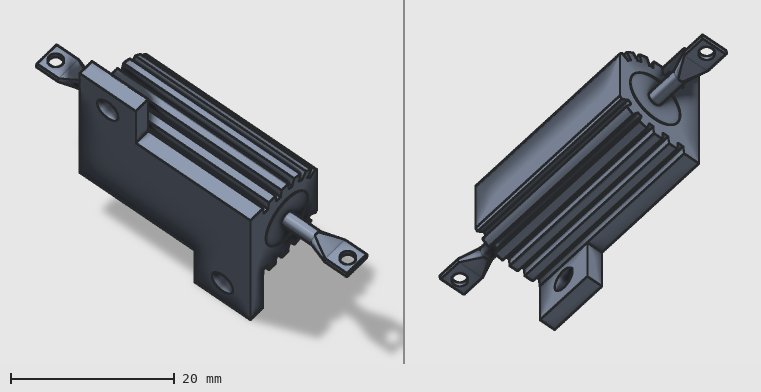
import cadquery as cq
import math


body_length = 27.15
body_radius = 7.05
mount_face_y = -7.0
back_face_y = 5.7

plate_thickness = 2.35
plate_height = 27.4
tab_width = 8.9
mount_hole_diameter = 3.35
mount_hole_z = 9.95

groove_mouth = 1.15
straight_floor = 0.85
radial_floor = 0.65
groove_depth = 1.25
straight_groove_ys = (-4.05, -1.65)
radial_groove_angles = (6.5, 26, 45.5)

recess_radius = 4.0
recess_depth = 0.1

overall_length = 49.3
lead_radius = 1.01
flare_start_x = 18.25
flare_end_x = 21.2
flat_start_z = 0.96
lug_width = 4.05
lug_thickness = 0.8
lug_hole_diameter = 2.0
lug_hole_x = 23.2

half_body = body_length / 2
half_overall = overall_length / 2
plate_back_y = mount_face_y + plate_thickness


def make_housing():
    """Extrude the rounded housing section along X."""
    arc_end_z = math.sqrt(body_radius**2 - back_face_y**2)
    arc_mid_angle = math.atan2(back_face_y, arc_end_z) / 2
    arc_mid_y = body_radius * math.sin(arc_mid_angle)
    arc_mid_z = body_radius * math.cos(arc_mid_angle)
    return (
        cq.Workplane("YZ", origin=(-half_body, 0, 0))
        .moveTo(mount_face_y, -body_radius)
        .lineTo(mount_face_y, body_radius)
        .lineTo(0, body_radius)
        .threePointArc((arc_mid_y, arc_mid_z), (back_face_y, arc_end_z))
        .lineTo(back_face_y, -arc_end_z)
        .threePointArc((arc_mid_y, -arc_mid_z), (0, -body_radius))
        .close()
        .extrude(body_length)
    )


def make_groove(center_y, floor_width):
    """Tapered cutter for an upright groove, open beyond the housing surface."""
    floor_z = body_radius - groove_depth
    cutter_top_z = body_radius + groove_depth
    top_width = floor_width + 2 * (groove_mouth - floor_width)
    return (
        cq.Workplane("YZ", origin=(-half_body, 0, 0))
        .polyline([
            (center_y - floor_width / 2, floor_z),
            (center_y + floor_width / 2, floor_z),
            (center_y + top_width / 2, cutter_top_z),
            (center_y - top_width / 2, cutter_top_z),
        ])
        .close()
        .extrude(body_length)
    )


def cut_grooves(housing):
    """Cut the straight and radial grooves on the upper and lower sides."""
    grooves = [make_groove(y, straight_floor) for y in straight_groove_ys]
    for angle in radial_groove_angles:
        groove = make_groove(0, radial_floor)
        grooves.append(groove.rotate((0, 0, 0), (1, 0, 0), -angle))
    for groove in grooves:
        housing = housing.cut(groove).cut(groove.mirror("XY"))
    return housing


def make_tab():
    """Upper mounting tab, at the -X end of the plate."""
    tab_center_x = -half_body + tab_width / 2
    tab = cq.Workplane("XY").box(
        tab_width, plate_thickness, plate_height / 2, centered=(True, False, False)
    ).translate((tab_center_x, mount_face_y, 0))
    hole = (
        cq.Workplane("XZ", origin=(0, plate_back_y, 0))
        .center(tab_center_x, mount_hole_z)
        .circle(mount_hole_diameter / 2)
        .extrude(plate_thickness)
    )
    return tab.cut(hole)


def make_lead():
    """Lead on the +X side: round rod, elliptical flare and flat lug."""
    rod_start_x = half_body - recess_depth
    rod = (
        cq.Workplane("YZ", origin=(rod_start_x, 0, 0))
        .circle(lead_radius)
        .extrude(flare_start_x - rod_start_x)
    )
    flare = (
        cq.Workplane("YZ", origin=(flare_start_x, 0, 0))
        .circle(lead_radius)
        .workplane(offset=flare_end_x - flare_start_x)
        .ellipse(lug_width / 2, lead_radius)
        .loft()
    )
    lug = (
        cq.Workplane("YZ", origin=(flare_end_x, 0, 0))
        .ellipse(lug_width / 2, lead_radius)
        .extrude(half_overall - flare_end_x)
    )
    flattening = (
        cq.Workplane("XZ")
        .moveTo(flare_start_x, -flat_start_z)
        .lineTo(flare_start_x, flat_start_z)
        .lineTo(flare_end_x, lug_thickness / 2)
        .lineTo(half_overall, lug_thickness / 2)
        .lineTo(half_overall, -lug_thickness / 2)
        .lineTo(flare_end_x, -lug_thickness / 2)
        .close()
        .extrude(lug_width, both=True)
    )
    hole = (
        cq.Workplane("XY")
        .center(lug_hole_x, 0)
        .circle(lug_hole_diameter / 2)
        .extrude(lug_thickness, both=True)
    )
    flattened_end = flare.union(lug).intersect(flattening).cut(hole)
    return rod.union(flattened_end)


def make_recess():
    """Cutter for the shallow round recess in the +X end face."""
    return (
        cq.Workplane("YZ", origin=(half_body - recess_depth, 0, 0))
        .circle(recess_radius)
        .extrude(recess_depth)
    )


housing = cut_grooves(make_housing())
upper_tab = make_tab()
lower_tab = upper_tab.rotate((0, 0, 0), (0, 1, 0), 180)
recess = make_recess()
lead = make_lead()

result = housing.union(upper_tab).union(lower_tab)
result = result.cut(recess).cut(recess.mirror("YZ"))
result = result.union(lead).union(lead.mirror("YZ"))